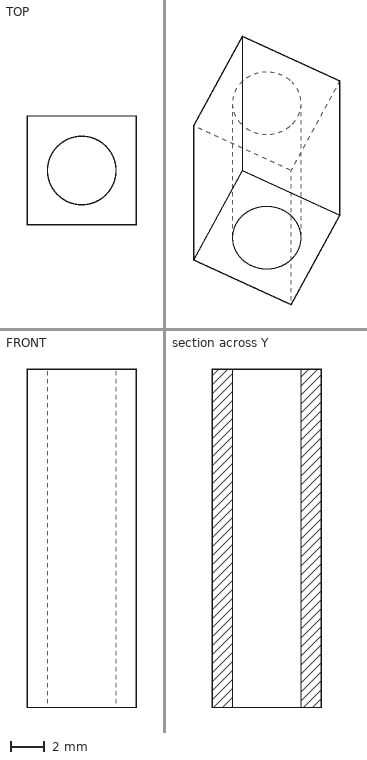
import cadquery as cq

side = 6.45
length = 20.0
bore_diameter = 4.05

result = (
    cq.Workplane("XY")
    .rect(side, side)
    .extrude(length)
    .faces(">Z")
    .workplane()
    .hole(bore_diameter)
)